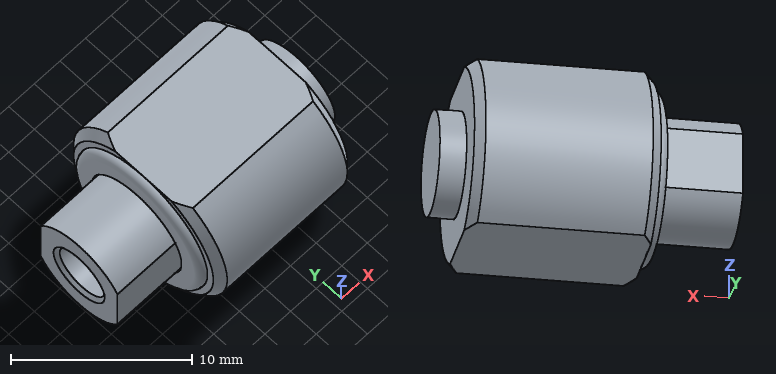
import cadquery as cq

TOTAL_LENGTH = 17.0
STUB_LENGTH = 4.5
COLLAR_LENGTH = 0.53
TAIL_LENGTH = 1.5
SLEEVE_LENGTH = TOTAL_LENGTH - STUB_LENGTH - COLLAR_LENGTH - TAIL_LENGTH

SLEEVE_DIAMETER = 12.0
SLEEVE_FLATS = 10.0
SLEEVE_CHAMFER = 0.55
COLLAR_DIAMETER = SLEEVE_FLATS
COLLAR_ROUND = 0.5

HEAD_DIAMETER = 7.0
HEAD_FLATS = 6.0
SHAFT_DIAMETER = HEAD_FLATS
RECESS_DEPTH = STUB_LENGTH

BORE_DIAMETER = 3.5
BORE_MOUTH_DIAMETER = 4.0
BORE_CHAMFER = (BORE_MOUTH_DIAMETER - BORE_DIAMETER) / 2
BORE_DEPTH = STUB_LENGTH

HEAD_START = -TOTAL_LENGTH / 2
COLLAR_START = HEAD_START + STUB_LENGTH
SLEEVE_START = COLLAR_START + COLLAR_LENGTH
SHOULDER = COLLAR_START + RECESS_DEPTH
SLEEVE_END = SLEEVE_START + SLEEVE_LENGTH
SHAFT_END = SLEEVE_END + TAIL_LENGTH


def cylinder(start, end, diameter):
    """Cylinder along X between two X positions."""
    return cq.Workplane("YZ", origin=(start, 0, 0)).circle(diameter / 2).extrude(end - start)


def make_sleeve():
    """Cylinder chamfered at both ends, with flats at its top and bottom."""
    flats = cq.Workplane("XY").box(TOTAL_LENGTH, SLEEVE_DIAMETER, SLEEVE_FLATS)
    body = cylinder(SLEEVE_START, SLEEVE_END, SLEEVE_DIAMETER)
    return body.edges("%CIRCLE").chamfer(SLEEVE_CHAMFER).intersect(flats)


def make_collar():
    """Disc with its outer -X edge rounded."""
    disc = cylinder(COLLAR_START, SLEEVE_START, COLLAR_DIAMETER)
    return disc.edges("<X").fillet(COLLAR_ROUND)


def make_housing():
    """Sleeve and collar with a stepped hole: round head recess, then shaft hole."""
    recess = cylinder(COLLAR_START, SHOULDER, HEAD_DIAMETER)
    shaft_hole = cylinder(SHOULDER, SLEEVE_END, SHAFT_DIAMETER)
    return make_sleeve().union(make_collar()).cut(recess).cut(shaft_hole)


def make_bore():
    """Cutter for the blind bore and its chamfered mouth."""
    mouth = cq.Workplane(
        cq.Solid.makeCone(
            BORE_MOUTH_DIAMETER / 2,
            BORE_DIAMETER / 2,
            BORE_CHAMFER,
            cq.Vector(HEAD_START, 0, 0),
            cq.Vector(1, 0, 0),
        )
    )
    return cylinder(HEAD_START, HEAD_START + BORE_DEPTH, BORE_DIAMETER).union(mouth)


def make_plunger():
    """Bored head with a flat on each Y side, and the shaft that passes out of the sleeve."""
    flats = cq.Workplane("XY").box(TOTAL_LENGTH, HEAD_FLATS, HEAD_DIAMETER)
    head = cylinder(HEAD_START, SHOULDER, HEAD_DIAMETER).intersect(flats)
    shaft = cylinder(SHOULDER, SHAFT_END, SHAFT_DIAMETER)
    return head.union(shaft).cut(make_bore())


housing = make_housing()
plunger = make_plunger()
result = cq.Compound.makeCompound([housing.val(), plunger.val()])